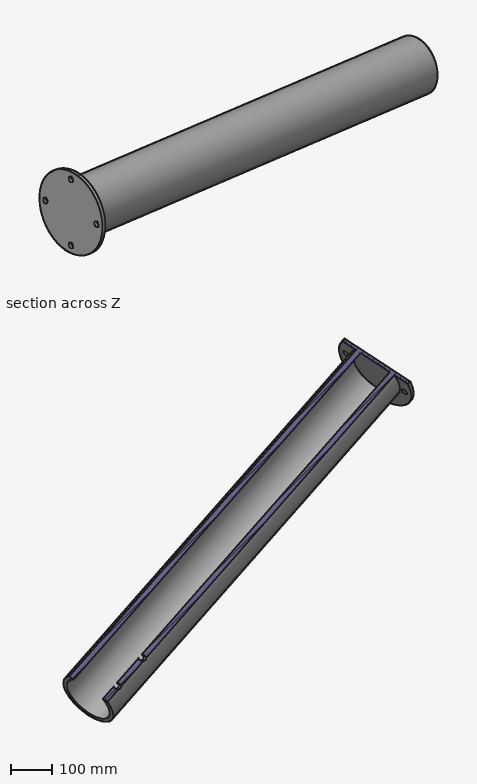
import cadquery as cq

total_length = 1160.0
plate_diameter = 220.0
plate_thickness = 10.0
tube_outer_diameter = 152.0
tube_inner_diameter = 130.0
hole_diameter = 15.0
plate_hole_count = 4
plate_hole_circle_radius = 89.0
first_hole_from_end = 50.0
hole_pitch = 100.0
side_hole_tilt = 43.5

hole_radius = hole_diameter / 2


def disc(diameter, start_y, end_y):
    """Solid cylinder on the Y axis between two Y positions."""
    length = end_y - start_y
    return cq.Workplane(
        cq.Solid.makeCylinder(diameter / 2, length, cq.Vector(0, start_y, 0), cq.Vector(0, 1, 0))
    )


def base_plate():
    """Round plate closing the -Y end, with a circle of mounting holes."""
    holes = (
        cq.Workplane("XZ")
        .polarArray(plate_hole_circle_radius, 0, 360, plate_hole_count)
        .circle(hole_radius)
        .extrude(-plate_thickness)
    )
    return disc(plate_diameter, 0, plate_thickness).cut(holes)


def side_hole(angle, y):
    """Radial cutter through one wall, at an angle in degrees from +X towards +Z."""
    cutter = cq.Solid.makeCylinder(
        hole_radius, plate_diameter / 2, cq.Vector(0, y, 0), cq.Vector(1, 0, 0)
    )
    axis_start = cq.Vector(0, 0, 0)
    axis_end = cq.Vector(0, -1, 0)
    return cutter.rotate(axis_start, axis_end, angle)


def tube():
    """Tube open at the +Y end, with two rows of radial holes on the -X side."""
    body = disc(tube_outer_diameter, plate_thickness, total_length)
    body = body.cut(disc(tube_inner_diameter, plate_thickness, total_length))
    first_hole_y = total_length - first_hole_from_end
    for angle in (180 - side_hole_tilt, 180 + side_hole_tilt):
        for y in (first_hole_y, first_hole_y - hole_pitch):
            body = body.cut(cq.Workplane(side_hole(angle, y)))
    return body


result = base_plate().union(tube())